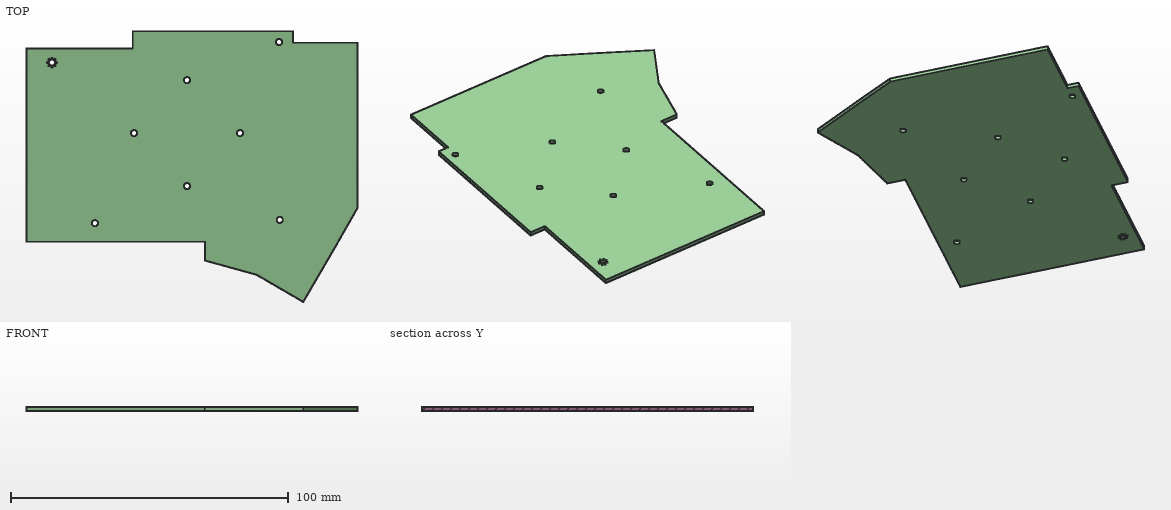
import cadquery as cq
import math

length = 119.3
width = 97.6
thickness = 1.5

left_shoulder_y = 91.4
right_shoulder_y = 93.4
raised_start_x = 38.3
raised_end_x = 96.0

lower_edge_y = 21.7
lower_step_x = 64.3
lower_step_y = 14.9
lower_bend = (82.9, 9.8)
tip_x = 99.7
slant_bend = (111.5, 20.3)
right_edge_end_y = 33.9

hole_diameter = 2.1
cluster_center = (57.9, 60.8)
cluster_radius = 19.1
mounting_holes = [(24.7, 28.4), (91.0, 93.7), (91.3, 29.6)]

via_hole_center = (9.2, 86.3)
via_diameter = 0.4
via_ring_radius = 1.5
via_count = 8


def ring_points(center, radius, count):
    """Points equally spaced on a circle, starting on the +X side."""
    angles = [2 * math.pi * i / count for i in range(count)]
    return [(center[0] + radius * math.cos(a), center[1] + radius * math.sin(a)) for a in angles]


def cut_holes(body, centers, diameter):
    """Cut through holes of one diameter at the given centers."""
    pins = cq.Workplane("XY").pushPoints(centers).circle(diameter / 2).extrude(thickness)
    return body.cut(pins)


outline = [
    (0, lower_edge_y),
    (lower_step_x, lower_edge_y),
    (lower_step_x, lower_step_y),
    lower_bend,
    (tip_x, 0),
    slant_bend,
    (length, right_edge_end_y),
    (length, right_shoulder_y),
    (raised_end_x, right_shoulder_y),
    (raised_end_x, width),
    (raised_start_x, width),
    (raised_start_x, left_shoulder_y),
    (0, left_shoulder_y),
]
plate = cq.Workplane("XY").polyline(outline).close().extrude(thickness)

cluster_holes = ring_points(cluster_center, cluster_radius, 4)
plate = cut_holes(plate, cluster_holes + mounting_holes + [via_hole_center], hole_diameter)

vias = ring_points(via_hole_center, via_ring_radius, via_count)
result = cut_holes(plate, vias, via_diameter)